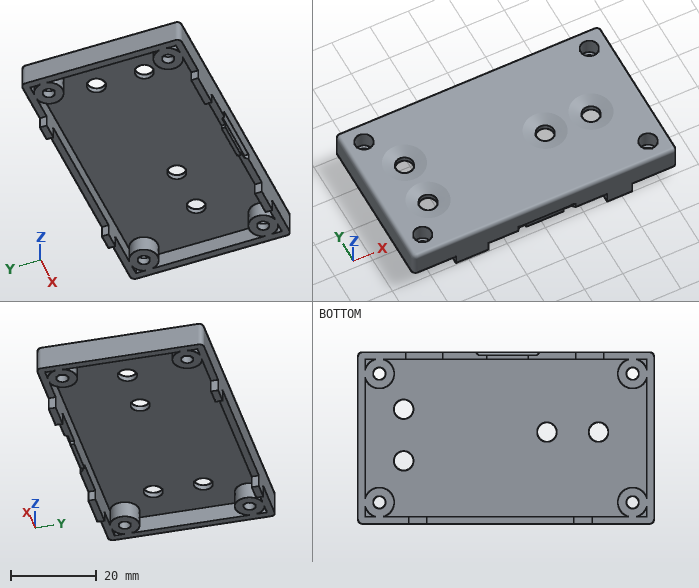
import cadquery as cq

length = 69.0
width = 40.0
body_height = 6.5
wall = 1.7
roof = 2.35
corner_radius = 1.2
top_radius = 1.0

screw_inset = 5.05
screw_bore = 2.8
screw_head_bore = 4.5
screw_head_depth = 4.5
post_diameter = 6.9

countersunk_bore = 4.5
countersink_diameter = 10.5
countersink_depth = 1.0
pair_spacing = 12.0
left_pair_center = (-23.8, -0.7)
right_pair_center = (15.5, -1.4)

tab_drop = 3.05
short_tab_drop = 2.55
front_left_tab = (-23.3, -14.8)
front_right_tab = (16.2, 22.8)
back_left_tab = (-22.6, -18.4)
back_right_tab = (15.8, 20.0)

recess_center_x = 0.4
recess_width = 15.05
recess_height = 1.45
recess_depth = 0.75
recess_bevel = 0.75
lip_center_x = 0.35
lip_width = 9.7
lip_drop = 0.9

front_y = -width / 2
back_y = width / 2


def make_shell():
    """Rounded box, hollowed from below."""
    outside = cq.Workplane("XY").box(length, width, body_height, centered=(True, True, False))
    outside = outside.edges("|Z").fillet(corner_radius)
    outside = outside.faces(">Z").edges().fillet(top_radius)
    cavity = cq.Workplane("XY").box(
        length - 2 * wall, width - 2 * wall, body_height - roof, centered=(True, True, False)
    )
    return outside.cut(cavity)


def make_tab(x_range, inner_y, outer_y, drop):
    """Block hanging from the rim between two X and two Y positions."""
    x_start, x_end = x_range
    center = ((x_start + x_end) / 2, (inner_y + outer_y) / 2)
    return cq.Workplane("XY").center(*center).rect(x_end - x_start, abs(outer_y - inner_y)).extrude(-drop)


def make_recess():
    """Tapered cutter, symmetric about the rim so that its lower half clears the part."""
    return (
        cq.Workplane("XZ", origin=(recess_center_x, front_y, 0))
        .rect(recess_width, 2 * recess_height)
        .workplane(offset=-recess_depth)
        .rect(recess_width - 2 * recess_bevel, 2 * (recess_height - recess_bevel))
        .loft(ruled=True)
    )


def add_tabs(part):
    front_inner_y = front_y + wall
    back_inner_y = back_y - wall
    part = part.union(make_tab(front_left_tab, front_inner_y, front_y, short_tab_drop))
    part = part.union(make_tab(front_right_tab, front_inner_y, front_y, tab_drop))
    for x_range in (back_left_tab, back_right_tab):
        part = part.union(make_tab(x_range, back_inner_y, back_y, tab_drop))
    lip_range = (lip_center_x - lip_width / 2, lip_center_x + lip_width / 2)
    return part.union(make_tab(lip_range, front_inner_y, front_y + recess_depth, lip_drop))


def add_corner_posts(part):
    screw_points = cq.Workplane("XY").rect(
        length - 2 * screw_inset, width - 2 * screw_inset, forConstruction=True
    ).vertices()
    part = part.union(screw_points.circle(post_diameter / 2).extrude(body_height - roof))
    return (
        part.faces(">Z").workplane(origin=(0, 0, body_height))
        .rect(length - 2 * screw_inset, width - 2 * screw_inset, forConstruction=True)
        .vertices()
        .cboreHole(screw_bore, screw_head_bore, screw_head_depth)
    )


def make_countersunk_cutter(x, y):
    bore = cq.Workplane("XY").center(x, y).circle(countersunk_bore / 2).extrude(body_height)
    cone = (
        cq.Workplane("XY", origin=(x, y, body_height))
        .circle(countersink_diameter / 2)
        .workplane(offset=-countersink_depth)
        .circle(countersunk_bore / 2)
        .loft(ruled=True)
    )
    return bore.union(cone)


result = make_shell().cut(make_recess())
result = add_tabs(result)
result = add_corner_posts(result)

for side in (-1, 1):
    offset = side * pair_spacing / 2
    left_x, left_y = left_pair_center
    right_x, right_y = right_pair_center
    result = result.cut(make_countersunk_cutter(left_x, left_y + offset))
    result = result.cut(make_countersunk_cutter(right_x + offset, right_y))